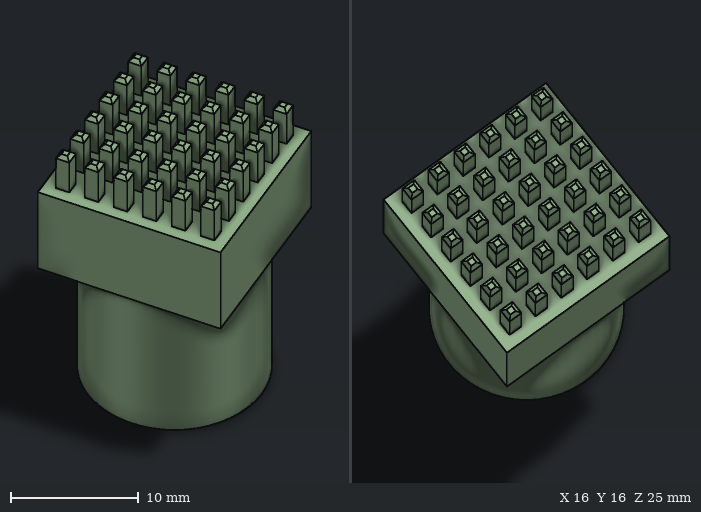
import cadquery as cq

total_height = 25.0
block_side = 16.0
block_height = 8.0

barrel_diameter = 15.3
barrel_chamfer = 0.2

pin_count = 6
pin_grid_span = 12.7
pin_side = 1.18
pin_height = 3.45
pin_chamfer = 0.32

pin_pitch = pin_grid_span / (pin_count - 1)
barrel_height = total_height - pin_height - block_height
block_top = barrel_height + block_height


def make_barrel():
    """Cylinder standing on Z = 0 with a chamfered bottom rim."""
    barrel = cq.Workplane("XY").circle(barrel_diameter / 2).extrude(barrel_height)
    return barrel.faces("<Z").edges().chamfer(barrel_chamfer)


def make_block():
    """Square block sitting on the barrel."""
    plane = cq.Workplane("XY").workplane(offset=barrel_height)
    return plane.rect(block_side, block_side).extrude(block_height)


def make_pins():
    """Grid of square pins, each with its four top edges chamfered."""
    plane = cq.Workplane("XY").workplane(offset=block_top)
    grid = plane.rarray(pin_pitch, pin_pitch, pin_count, pin_count)
    pins = grid.rect(pin_side, pin_side).extrude(pin_height)
    return pins.faces(">Z").edges().chamfer(pin_chamfer)


result = make_barrel().union(make_block()).union(make_pins())